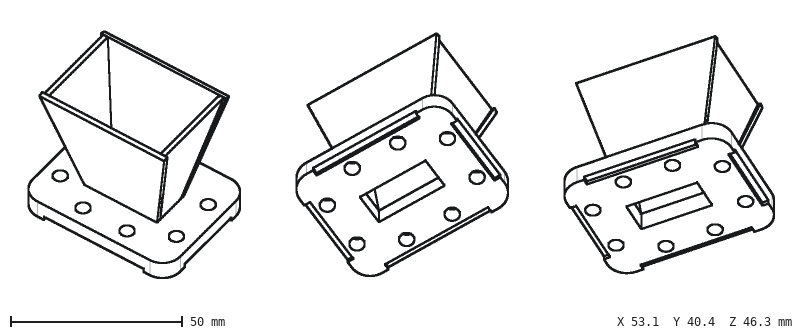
import cadquery as cq
import math

base_length = 53.1
base_width = 40.4
base_height = 6.35
corner_radius = 6.35
total_height = 46.25

hole_diameter = 4.45
hole_edge_distance = 5.7
hole_half_spacing = 7.9

foot_length = 8.65
notch_height = 1.3
notch_depth = 2.0

opening_length = 22.85
opening_width = 10.2
wall_thickness = 1.6
long_wall_top_length = 45.0
long_wall_tilt = math.radians(13.4)
end_wall_tilt = math.radians(12.2)

hopper_height = total_height - base_height
long_wall_run = hopper_height * math.tan(long_wall_tilt)
end_wall_run = hopper_height * math.tan(end_wall_tilt)
end_wall_section = wall_thickness / math.cos(end_wall_tilt)
long_wall_section = wall_thickness / math.cos(long_wall_tilt)
long_wall_base_length = opening_length + 2 * end_wall_section


def make_base():
    """Rounded plate with a hopper opening, bolt holes and edge notches."""
    plate = (
        cq.Workplane("XY")
        .box(base_length, base_width, base_height, centered=(True, True, False))
        .edges("|Z")
        .fillet(corner_radius)
    )
    opening = cq.Workplane("XY").rect(opening_length, opening_width).extrude(base_height)

    hole_x = base_length / 2 - hole_edge_distance
    hole_y = base_width / 2 - hole_edge_distance
    hole_centers = []
    for side in (-1, 1):
        for offset in (-hole_half_spacing, hole_half_spacing):
            hole_centers.append((offset, side * hole_y))
            hole_centers.append((side * hole_x, offset))
    holes = cq.Workplane("XY").pushPoints(hole_centers).circle(hole_diameter / 2).extrude(base_height)
    plate = plate.cut(opening).cut(holes)

    long_notches = (
        cq.Workplane("XY")
        .pushPoints([(0, -base_width / 2), (0, base_width / 2)])
        .rect(base_length - 2 * foot_length, 2 * notch_depth)
        .extrude(notch_height)
    )
    end_notches = (
        cq.Workplane("XY")
        .pushPoints([(-base_length / 2, 0), (base_length / 2, 0)])
        .rect(2 * notch_depth, base_width - 2 * foot_length)
        .extrude(notch_height)
    )
    return plate.cut(long_notches).cut(end_notches)


def trapezoid_prism(plane, bottom_length, top_length, depth):
    """Upright trapezoid on the plate top, extruded equally to both sides of the plane."""
    return (
        cq.Workplane(plane)
        .polyline([
            (-bottom_length / 2, base_height),
            (bottom_length / 2, base_height),
            (top_length / 2, total_height),
            (-top_length / 2, total_height),
        ])
        .close()
        .extrude(depth / 2, both=True)
    )


def make_long_wall(side):
    """Sloping wall along X, with its top edge square to its faces."""
    inner_bottom = opening_width / 2
    inner_top = inner_bottom + long_wall_run
    outer_top = inner_top + wall_thickness * math.cos(long_wall_tilt)
    outer_top_height = total_height - wall_thickness * math.sin(long_wall_tilt)
    slab = (
        cq.Workplane("YZ")
        .polyline([
            (side * inner_bottom, base_height),
            (side * (inner_bottom + long_wall_section), base_height),
            (side * outer_top, outer_top_height),
            (side * inner_top, total_height),
        ])
        .close()
        .extrude(base_length / 2, both=True)
    )
    outline = trapezoid_prism("XZ", long_wall_base_length, long_wall_top_length, base_width)
    return slab.intersect(outline)


def make_end_wall(side):
    """Sloping wall along Y with a level top, fitted between the long walls."""
    inner_bottom = opening_length / 2
    inner_top = inner_bottom + end_wall_run
    slab = (
        cq.Workplane("XZ")
        .polyline([
            (side * inner_bottom, base_height),
            (side * (inner_bottom + end_wall_section), base_height),
            (side * (inner_top + end_wall_section), total_height),
            (side * inner_top, total_height),
        ])
        .close()
        .extrude(base_width / 2, both=True)
    )
    outline = trapezoid_prism("YZ", opening_width, opening_width + 2 * long_wall_run, base_length)
    return slab.intersect(outline)


base = make_base()
long_walls = [make_long_wall(side) for side in (-1, 1)]
end_walls = [make_end_wall(side) for side in (-1, 1)]

result = cq.Compound.makeCompound([
    base.solids().val(),
    *[wall.solids().val() for wall in long_walls],
    *[wall.solids().val() for wall in end_walls],
])